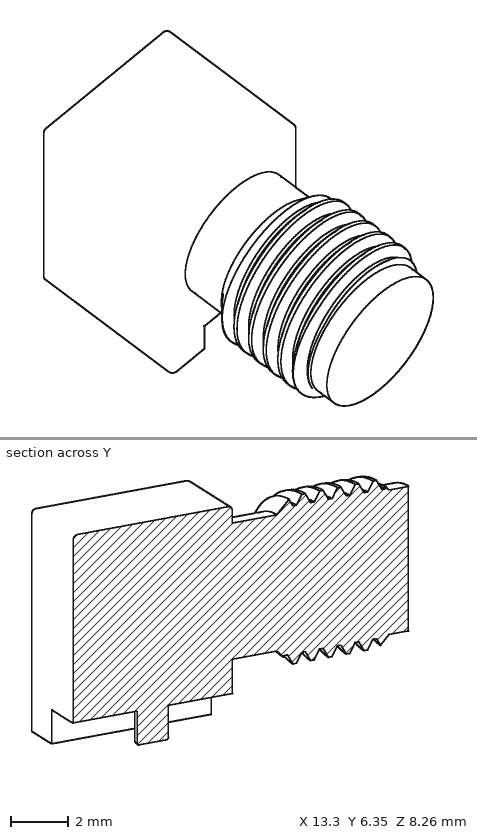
import cadquery as cq

overall_length = 13.34
body_width = 6.35
body_height = 8.26
body_round = 0.2

slot_width = 3.12
slot_depth = 1.27

pin_diameter = 1.27
pin_chamfer = 0.07

neck_diameter = 5.08
neck_length = 1.75
tip_diameter = 5.39
tip_length = 0.77

thread_diameter = 6.25
thread_root_diameter = 5.52
thread_pitch = 0.71
thread_crest_width = 0.15
thread_root_width = 0.13
groove_start_offset = 1.4
groove_turns = 7.5
groove_overshoot = 0.01

body_face = body_width / 2
barrel_end = overall_length - body_width / 2
axis_height = body_height - body_width / 2
thread_start = body_face + neck_length
thread_end = barrel_end - tip_length


def make_body():
    body = cq.Workplane("XY").box(body_width, body_width, body_height, centered=(True, True, False))
    body = body.edges("|Z or >Z").fillet(body_round)
    slot = cq.Workplane("XY").box(body_width, slot_width, slot_depth, centered=(True, True, False))
    return body.cut(slot)


def make_pin():
    pin = cq.Workplane("XY").circle(pin_diameter / 2).extrude(slot_depth)
    return pin.faces("<Z").chamfer(pin_chamfer)


def make_barrel_blank():
    neck_radius = neck_diameter / 2
    tip_radius = tip_diameter / 2
    crest_radius = thread_diameter / 2
    start_bevel = crest_radius - neck_radius
    end_bevel = crest_radius - tip_radius
    half_profile = (
        cq.Workplane("XZ")
        .moveTo(body_face, 0)
        .lineTo(body_face, neck_radius)
        .lineTo(thread_start, neck_radius)
        .lineTo(thread_start + start_bevel, crest_radius)
        .lineTo(thread_end - end_bevel, crest_radius)
        .lineTo(thread_end, tip_radius)
        .lineTo(barrel_end, tip_radius)
        .lineTo(barrel_end, 0)
        .close()
    )
    blank = half_profile.revolve(360, (0, 0, 0), (1, 0, 0))
    blank = blank.rotate((0, 0, 0), (1, 0, 0), 180)
    return blank.translate((0, 0, axis_height))


def make_thread_groove():
    """Right-handed trapezoidal groove that runs out through both bevels."""
    root_radius = thread_root_diameter / 2
    crest_radius = thread_diameter / 2
    root_half = thread_root_width / 2
    crest_half = (thread_pitch - thread_crest_width) / 2
    flank_slope = (crest_half - root_half) / (crest_radius - root_radius)
    outer_half = crest_half + groove_overshoot * flank_slope
    outer_radius = crest_radius + groove_overshoot

    helix = cq.Wire.makeHelix(thread_pitch, thread_pitch * groove_turns, root_radius)
    section = cq.Workplane("XZ").polyline([
        (root_radius, -root_half),
        (outer_radius, -outer_half),
        (outer_radius, outer_half),
        (root_radius, root_half),
    ]).close()
    groove = section.sweep(cq.Workplane(helix), isFrenet=True)
    groove = groove.rotate((0, 0, 0), (0, 1, 0), 90)
    return groove.translate((body_face + groove_start_offset, 0, axis_height))


barrel = make_barrel_blank().cut(make_thread_groove())
result = make_body().union(make_pin()).union(barrel)